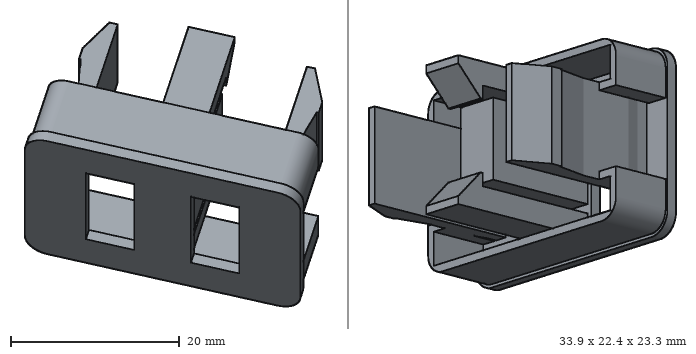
import cadquery as cq

plate_width = 33.85
plate_height = 23.3
plate_thickness = 1.4
plate_corner_radius = 2.8

body_width = 33.17
body_height = 22.48
body_end_y = 9.3
body_corner_radius = 2.5
wall = 1.0
cavity_width = body_width - 2 * wall
cavity_height = body_height - 2 * wall

window_inner_x = 3.5
window_outer_x = 9.4
window_height = 13.55

arm_height = 12.0
arm_inner_x = 11.6
arm_outer_x = 13.65
arm_root_x = 13.3
arm_root_end_y = 2.88
arm_full_start_y = 4.6
arm_taper_start_y = 11.85
arm_taper_end_y = 16.28
arm_taper_end_x = 14.5
arm_catch_x = 14.72
arm_catch_end_y = 17.87
arm_tip_x = 12.63
arm_end_y = 22.35
slot_height = 10.02

hook_width = 5.7
hook_outer_z = 9.2
hook_inner_z = 6.23
hook_catch_z = 4.57
hook_catch_y = 18.1
hook_catch_flat = 0.37
hook_tip_z = 8.2
hook_end_y = 22.05
block_height = 10.15
block_end_y = 16.5


def box(x_min, x_max, y_min, y_max, z_min, z_max):
    size = (x_max - x_min, y_max - y_min, z_max - z_min)
    return cq.Workplane("XY").box(*size, centered=False).translate((x_min, y_min, z_min))


def centered_box(width, height, y_min, y_max):
    return box(-width / 2, width / 2, y_min, y_max, -height / 2, height / 2)


def with_mirror(solid, plane):
    return solid.union(solid.mirror(plane))


def make_housing():
    plate = centered_box(plate_width, plate_height, 0, plate_thickness)
    plate = plate.edges("|Y").fillet(plate_corner_radius)
    body = centered_box(body_width, body_height, plate_thickness, body_end_y)
    body = body.edges("|Y").fillet(body_corner_radius)
    cavity = centered_box(cavity_width, cavity_height, plate_thickness, body_end_y)
    return plate.union(body.cut(cavity))


def make_windows():
    half_height = window_height / 2
    window = box(window_inner_x, window_outer_x, 0, plate_thickness, -half_height, half_height)
    return with_mirror(window, "YZ")


def make_slot_cheeks():
    """Walls above and below each slot, joining the side wall to the arm."""
    cheek = box(
        arm_outer_x, body_width / 2 - wall,
        plate_thickness, body_end_y,
        slot_height / 2, arm_height / 2,
    )
    return with_mirror(with_mirror(cheek, "XY"), "YZ")


def make_arms():
    profile = [
        (arm_inner_x, plate_thickness),
        (arm_root_x, plate_thickness),
        (arm_root_x, arm_root_end_y),
        (arm_outer_x, arm_full_start_y),
        (arm_outer_x, arm_taper_start_y),
        (arm_taper_end_x, arm_taper_end_y),
        (arm_catch_x, arm_taper_end_y),
        (arm_catch_x, arm_catch_end_y),
        (arm_tip_x, arm_end_y),
        (arm_inner_x, arm_end_y),
    ]
    arm = cq.Workplane("XY").polyline(profile).close().extrude(arm_height / 2, both=True)
    return with_mirror(arm, "YZ")


def make_hooks():
    profile = [
        (plate_thickness, hook_outer_z),
        (hook_end_y, hook_outer_z),
        (hook_end_y, hook_tip_z),
        (hook_catch_y + hook_catch_flat, hook_catch_z),
        (hook_catch_y, hook_catch_z),
        (hook_catch_y, hook_inner_z),
        (plate_thickness, hook_inner_z),
    ]
    hook = cq.Workplane("YZ").polyline(profile).close().extrude(hook_width / 2, both=True)
    return with_mirror(hook, "XY")


side_slots = with_mirror(
    box(
        arm_outer_x, body_width / 2,
        plate_thickness, body_end_y,
        -slot_height / 2, slot_height / 2,
    ),
    "YZ",
)
center_block = centered_box(hook_width, block_height, plate_thickness, block_end_y)

result = (
    make_housing()
    .cut(make_windows())
    .cut(side_slots)
    .union(make_slot_cheeks())
    .union(make_arms())
    .union(make_hooks())
    .union(center_block)
)